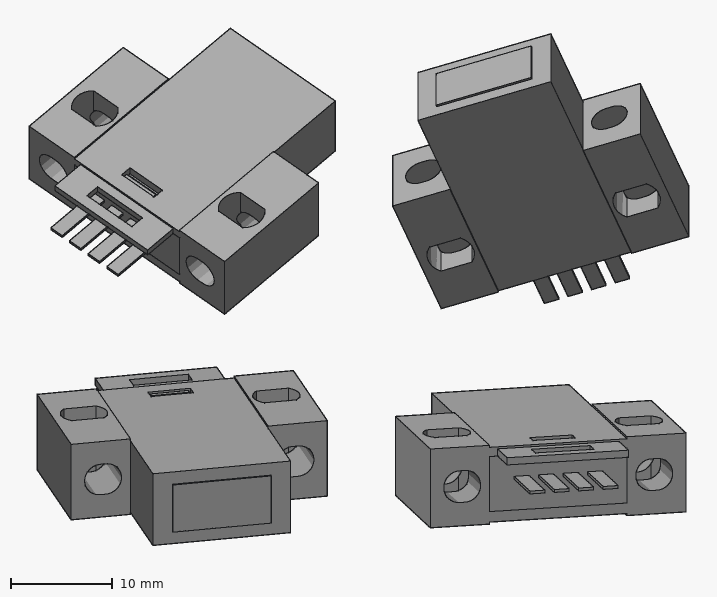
import cadquery as cq


overall_width = 26.0
overall_length = 29.2
wing_length = 13.75
wing_height = 8.0
wing_step = 0.2
block_width = 13.95
block_length = 22.8
block_height = wing_height - 2 * wing_step
block_top = block_height / 2

lens_width = 10.0
lens_height = 5.0
lens_thickness = 0.2

hole_offset_x = 9.75
hole_width = 3.2
vertical_hole_y = 6.05
vertical_hole_length = 4.67
vertical_hole_flat = 3.25
front_hole_length = 3.75

roof_thickness = 0.93
insert_height = 5.58
insert_top = block_top - roof_thickness

clearance = 0.2
window_front = 1.64
window_width = 4.3
window_length = 1.2
window_rear = window_front + window_length
latch_width = window_width - 2 * clearance
latch_rear = window_rear - clearance
latch_flat = 0.47
latch_top = block_top - clearance
insert_length = window_rear

tab_drop = 0.2
tab_width = 12.32
tab_length = 3.75
tab_thickness = roof_thickness - tab_drop
tab_slot_width = 5.95
tab_slot_length = 1.55
tab_slot_gap = 1.0

terminal_count = 4
terminal_pitch = 2.48
terminal_width = 1.52
terminal_thickness = 0.3
terminal_length = overall_length - block_length - lens_thickness
terminal_z = 0.55


def centred_box(width, y_start, y_end, z_bottom, z_top):
    """Box centred on X = 0, given its ends along Y and Z."""
    return (
        cq.Workplane("XY")
        .box(width, y_end - y_start, z_top - z_bottom, centered=(True, False, False))
        .translate((0, y_start, z_bottom))
    )


def insert_block():
    """Plain block of the insert, which is also the cavity that holds it."""
    return centred_box(block_width, 0, insert_length, insert_top - insert_height, insert_top)


def make_vertical_hole(x):
    """Vertical hole with straight long sides and a shallow arc at each end."""
    half_flat = vertical_hole_flat / 2
    half_width = hole_width / 2
    half_length = vertical_hole_length / 2
    return (
        cq.Workplane("XY")
        .center(x, vertical_hole_y)
        .moveTo(-half_flat, -half_width)
        .lineTo(half_flat, -half_width)
        .threePointArc((half_length, 0), (half_flat, half_width))
        .lineTo(-half_flat, half_width)
        .threePointArc((-half_length, 0), (-half_flat, -half_width))
        .close()
        .extrude(wing_height / 2, both=True)
    )


def make_front_hole(x):
    """Round-ended hole running the full length of a wing along Y."""
    return (
        cq.Workplane("XZ")
        .center(x, 0)
        .slot2D(front_hole_length, hole_width)
        .extrude(-wing_length)
    )


def make_tab():
    """Thin plate with a rectangular slot, standing out over the terminals."""
    tab_top = block_top - tab_drop
    tab_bottom = tab_top - tab_thickness
    tab = centred_box(tab_width, -tab_length, 0, tab_bottom, tab_top)
    slot_start = -tab_slot_gap - tab_slot_length
    slot = centred_box(tab_slot_width, slot_start, -tab_slot_gap, tab_bottom, tab_top)
    return tab.cut(slot)


def make_housing():
    block = centred_box(block_width, 0, block_length, -block_top, block_top)
    lens = centred_box(
        lens_width, block_length, block_length + lens_thickness, -lens_height / 2, lens_height / 2
    )
    body = block.union(lens).union(make_tab())
    wing_width = (overall_width - block_width) / 2
    for side in (-1, 1):
        wing = centred_box(wing_width, 0, wing_length, -wing_height / 2, wing_height / 2)
        body = body.union(wing.translate((side * (block_width + wing_width) / 2, 0, 0)))
        body = body.cut(make_vertical_hole(side * hole_offset_x))
        body = body.cut(make_front_hole(side * hole_offset_x))
    latch_window = centred_box(window_width, window_front, window_rear, insert_top, block_top)
    return body.cut(insert_block()).cut(latch_window)


def make_insert():
    """Block with a latch on top: upright front, level crest, ramp down to the rear."""
    latch = (
        cq.Workplane("YZ")
        .moveTo(window_front, insert_top)
        .lineTo(window_front, latch_top)
        .lineTo(window_front + latch_flat, latch_top)
        .lineTo(latch_rear, insert_top)
        .close()
        .extrude(latch_width / 2, both=True)
    )
    return insert_block().union(latch)


def make_terminal(x):
    """Flat terminal standing out from the face of the insert."""
    terminal_bottom = terminal_z - terminal_thickness / 2
    terminal_top = terminal_z + terminal_thickness / 2
    terminal = centred_box(terminal_width, -terminal_length, 0, terminal_bottom, terminal_top)
    return terminal.translate((x, 0, 0))


housing = make_housing()
insert = make_insert()
terminals = []
for index in range(terminal_count):
    terminal_x = (index - (terminal_count - 1) / 2) * terminal_pitch
    terminals.append(make_terminal(terminal_x).val())

result = cq.Compound.makeCompound([housing.solids().val(), insert.solids().val(), *terminals])